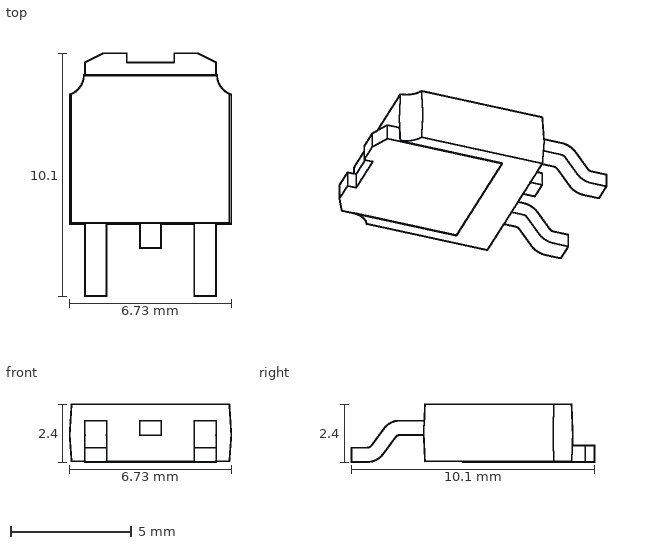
import cadquery as cq
import math


total_length = 10.1
total_height = 2.4

body_width = 6.73
body_front = 3.0
body_rear = 9.2
body_bottom = 0.03
parting_z = 1.12
side_inset = 0.08
end_inset = 0.05

relief_radius = 0.87
relief_x = 3.64

tab_width = 5.45
tab_thickness = 0.7
tab_front = 4.63
tab_end_width = 3.92
tab_notch_width = 1.97
tab_notch_depth = 0.38

lead_width = 0.91
center_lead_width = 0.88
lead_thickness = 0.61
lead_spacing = tab_width - lead_width
lead_embed = 0.5
bend_start = 2.0
bend_angle = math.radians(53.5)
bend_inner_radius = 0.19
bend_outer_radius = bend_inner_radius + lead_thickness


def body_half(face_z):
    """Frustum from the parting plane to a flat face that is smaller all round."""
    length = body_rear - body_front
    return (
        cq.Workplane("XY", origin=(0, (body_front + body_rear) / 2, parting_z))
        .rect(body_width, length)
        .workplane(offset=face_z - parting_z)
        .rect(body_width - 2 * side_inset, length - 2 * end_inset)
        .loft(ruled=True)
    )


def make_body():
    """Two drafted halves meeting at the parting plane, with straight round corner reliefs."""
    upper = body_half(total_height)
    lower = body_half(body_bottom)
    reliefs = (
        cq.Workplane("XY")
        .pushPoints([(-relief_x, body_rear), (relief_x, body_rear)])
        .circle(relief_radius)
        .extrude(total_height)
    )
    return upper.union(lower).cut(reliefs)


def make_tab():
    """Flat plate with bevelled rear corners and a rectangular notch in its rear edge."""
    half_width = tab_width / 2
    half_end = tab_end_width / 2
    half_notch = tab_notch_width / 2
    shoulder_y = total_length - tab_notch_depth
    return (
        cq.Workplane("XY")
        .moveTo(-half_width, tab_front)
        .lineTo(half_width, tab_front)
        .lineTo(half_width, shoulder_y)
        .lineTo(half_end, total_length)
        .lineTo(half_notch, total_length)
        .lineTo(half_notch, shoulder_y)
        .lineTo(-half_notch, shoulder_y)
        .lineTo(-half_notch, total_length)
        .lineTo(-half_end, total_length)
        .lineTo(-half_width, shoulder_y)
        .close()
        .extrude(tab_thickness)
    )


def make_formed_lead(center_x):
    """Strip that leaves the body at the parting plane and bends down to a flat foot."""
    half_tangent = math.tan(bend_angle / 2)
    root_y = body_front + lead_embed
    lead_top = parting_z + lead_thickness

    upper_outer = (bend_start - bend_outer_radius * half_tangent, lead_top)
    upper_inner = (bend_start - bend_inner_radius * half_tangent, parting_z)
    ramp_run = parting_z / math.tan(bend_angle)
    foot_inner = (upper_outer[0] - ramp_run, lead_thickness)
    foot_outer = (upper_inner[0] - ramp_run, 0)

    lead = (
        cq.Workplane("YZ", origin=(center_x, 0, 0))
        .polyline([
            (root_y, lead_top), upper_outer, foot_inner, (0, lead_thickness),
            (0, 0), foot_outer, upper_inner, (root_y, parting_z),
        ])
        .close()
        .extrude(lead_width / 2, both=True)
    )
    for corner, radius in (
        (upper_outer, bend_outer_radius),
        (upper_inner, bend_inner_radius),
        (foot_inner, bend_inner_radius),
        (foot_outer, bend_outer_radius),
    ):
        edge = cq.selectors.NearestToPointSelector((center_x, *corner))
        lead = lead.edges("|X").edges(edge).fillet(radius)
    return lead


def make_center_lead():
    """Straight stub, cut off where the outer leads begin to bend."""
    length = body_front + lead_embed - bend_start
    return (
        cq.Workplane("XY", origin=(0, bend_start, parting_z))
        .box(center_lead_width, length, lead_thickness, centered=(True, False, False))
    )


result = make_body().union(make_tab()).union(make_center_lead())
for side in (-1, 1):
    result = result.union(make_formed_lead(side * lead_spacing / 2))